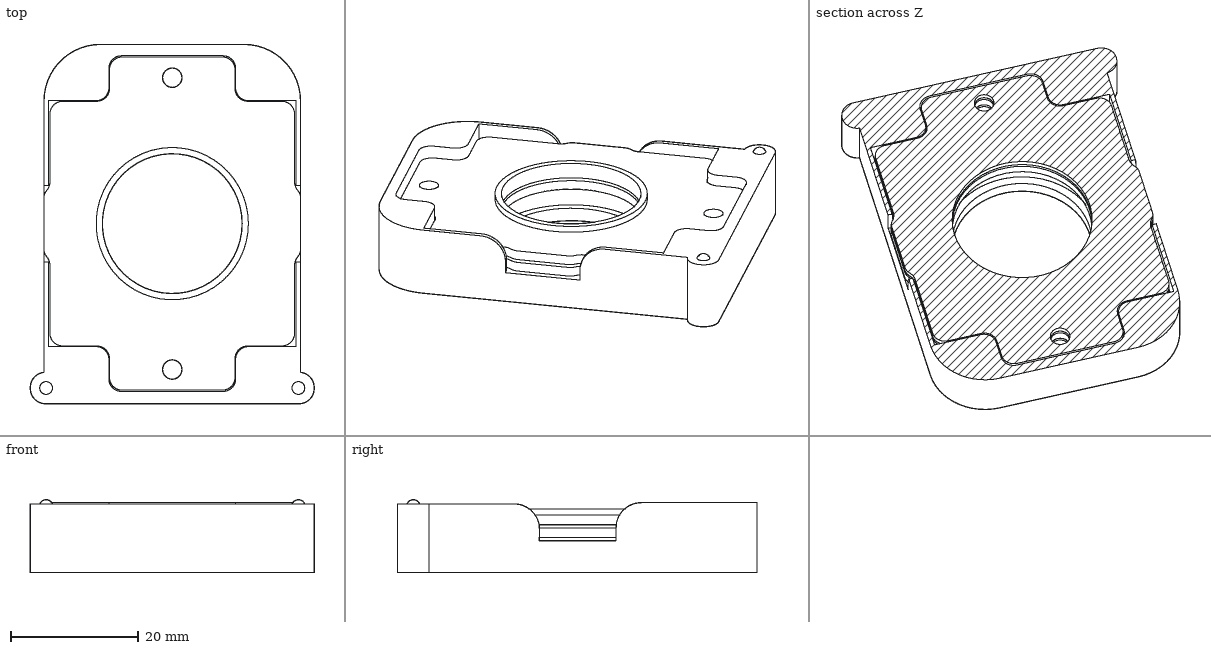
import cadquery as cq
import math

housing_width = 40.3
rear_y = 28.15
front_y = -28.3
rear_height = 11.0
front_height = 10.8
rear_corner_radius = 8.9

ear_reach = 22.3
ear_length = 5.0
ear_radius = 2.45
nub_radius = 1.0
nub_x = 19.8
nub_top = 11.45
ear_y = front_y + ear_length / 2

pocket_floor = 5.0
pocket_half_width = 19.4
pocket_half_length = 19.3
pocket_tab_half_width = 9.95
pocket_tab_reach = 26.35
tab_radius = 2.0
select_margin = 1.0

opening_half_length = 6.0
flare_radius = 4.0

bore_diameter = 21.9
counterbore_diameter = 24.4
counterbore_floor = 2.2

plate_thickness = 1.5
plate_gap = 0.5
side_clearance = 0.2
end_clearance = 0.1
plate_corner_radius = 2.0
grip_flat_half_length = 3.95
grip_radius = 2.0
collar_diameter = 23.9
collar_height = 1.0

screw_hole_diameter = 3.0
screw_hole_y = 22.9

lower_plate_z = pocket_floor + plate_gap
upper_plate_z = lower_plate_z + plate_thickness + plate_gap


def cylinder(x, y, bottom, diameter, height):
    """Upright cylinder standing at the given base height."""
    base = cq.Workplane("XY", origin=(x, y, bottom))
    return base.circle(diameter / 2).extrude(height)


def cut_screw_holes(body):
    """Drill the front and rear screw holes through the full height."""
    for y in (-screw_hole_y, screw_hole_y):
        body = body.cut(cylinder(0, y, 0, screw_hole_diameter, rear_height))
    return body


def block(half_width, half_length, bottom, height):
    """Rectangular block centred on the bore axis."""
    base = cq.Workplane("XY", origin=(0, 0, bottom))
    return base.rect(2 * half_width, 2 * half_length).extrude(height)


def cross(middle_half_width, middle_half_length, tab_half_width, tab_reach, bottom, height):
    """Cross-shaped block whose end tabs have rounded tips and rounded roots."""
    middle = block(middle_half_width, middle_half_length, bottom, height)
    tabs = block(tab_half_width, tab_reach, bottom, height).edges("|Z").fillet(tab_radius)
    root_selector = cq.selectors.BoxSelector(
        (-tab_half_width - select_margin, -middle_half_length - select_margin, bottom - select_margin),
        (tab_half_width + select_margin, middle_half_length + select_margin, bottom + height + select_margin),
    )
    return middle.union(tabs).edges("|Z").edges(root_selector).fillet(tab_radius)


def span_block(width, start_y, end_y, height):
    """Block standing on the base plane, centred in X, between two Y positions."""
    base = cq.Workplane("XY").center(0, (start_y + end_y) / 2)
    return base.rect(width, end_y - start_y).extrude(height)


def housing_blank():
    """Solid housing with round rear corners, hinge ears and a slightly lower front half."""
    rear = cq.Workplane("XY").rect(housing_width, 2 * rear_y).extrude(rear_height)
    rear = rear.edges("|Z and >Y").fillet(rear_corner_radius)
    rear = rear.intersect(span_block(housing_width, 0, rear_y, rear_height))
    front = span_block(housing_width, ear_y, 0, front_height)
    ears = span_block(2 * ear_reach, front_y, front_y + ear_length, front_height)
    ears = ears.edges("|Z").fillet(ear_radius)
    return rear.union(front).union(ears)


def nub(x):
    """Spherical cap rising from the top of a hinge ear."""
    cap_height = nub_top - front_height
    sphere_radius = (nub_radius**2 + cap_height**2) / (2 * cap_height)
    ball = cq.Workplane("XY").sphere(sphere_radius).translate((x, ear_y, nub_top - sphere_radius))
    return ball.intersect(cylinder(x, ear_y, front_height / 2, 2 * nub_radius, front_height))


def finger_opening():
    """Cutter across the full width: square at the bottom, flared out to each wall top."""
    diagonal = flare_radius * math.sqrt(0.5)
    flare_end = opening_half_length + flare_radius
    profile = (
        cq.Workplane("YZ")
        .moveTo(-opening_half_length, pocket_floor)
        .lineTo(opening_half_length, pocket_floor)
        .lineTo(opening_half_length, rear_height - flare_radius)
        .threePointArc(
            (flare_end - diagonal, rear_height - flare_radius + diagonal),
            (flare_end, rear_height),
        )
        .lineTo(-flare_end, rear_height)
        .lineTo(-flare_end, front_height)
        .threePointArc(
            (-flare_end + diagonal, front_height - flare_radius + diagonal),
            (-opening_half_length, front_height - flare_radius),
        )
        .close()
    )
    return profile.extrude(housing_width / 2, both=True)


def make_housing():
    body = housing_blank()
    for x in (-nub_x, nub_x):
        body = body.union(nub(x))
    pocket = cross(
        pocket_half_width,
        pocket_half_length,
        pocket_tab_half_width,
        pocket_tab_reach,
        pocket_floor,
        rear_height - pocket_floor,
    )
    body = body.cut(pocket).cut(finger_opening())
    body = body.cut(cylinder(0, 0, 0, bore_diameter, rear_height))
    body = body.cut(cylinder(0, 0, counterbore_floor, counterbore_diameter, rear_height))
    return cut_screw_holes(body)


def side_grip(side, root_x, bottom):
    """Low bulge on a plate side, flush with the housing wall, blended by equal S-curves."""
    tip_x = housing_width / 2
    rise = tip_x - root_x
    turn = math.acos(1 - rise / (2 * grip_radius))
    half_run = grip_radius * math.sin(turn)
    mid_x = root_x + rise / 2
    blend_y = grip_flat_half_length + half_run
    root_y = blend_y + half_run
    arc_x = grip_radius * (1 - math.cos(turn / 2))
    arc_y = grip_radius * math.sin(turn / 2)
    profile = (
        cq.Workplane("XY", origin=(0, 0, bottom))
        .moveTo(0, -root_y)
        .lineTo(side * root_x, -root_y)
        .threePointArc((side * (root_x + arc_x), -root_y + arc_y), (side * mid_x, -blend_y))
        .threePointArc(
            (side * (tip_x - arc_x), -grip_flat_half_length - arc_y),
            (side * tip_x, -grip_flat_half_length),
        )
        .lineTo(side * tip_x, grip_flat_half_length)
        .threePointArc(
            (side * (tip_x - arc_x), grip_flat_half_length + arc_y),
            (side * mid_x, blend_y),
        )
        .threePointArc((side * (root_x + arc_x), root_y - arc_y), (side * root_x, root_y))
        .lineTo(0, root_y)
        .close()
    )
    return profile.extrude(plate_thickness)


def plate_blank(bottom):
    """Cross-shaped plate with rounded corners and a grip on each side."""
    half_width = pocket_half_width - side_clearance
    half_length = pocket_half_length - end_clearance
    plate = cross(
        half_width,
        half_length,
        pocket_tab_half_width - end_clearance,
        pocket_tab_reach - side_clearance,
        bottom,
        plate_thickness,
    )
    plate = plate.edges("|Z and (<X or >X)").fillet(plate_corner_radius)
    for side in (-1, 1):
        plate = plate.union(side_grip(side, half_width, bottom))
    return plate


def make_lower_plate():
    plate = plate_blank(lower_plate_z)
    plate = plate.cut(cylinder(0, 0, 0, bore_diameter, rear_height))
    return cut_screw_holes(plate)


def make_upper_plate():
    """Same plate with a raised collar around the bore."""
    plate = plate_blank(upper_plate_z)
    collar = cylinder(0, 0, upper_plate_z, collar_diameter, plate_thickness + collar_height)
    plate = plate.union(collar).cut(cylinder(0, 0, 0, bore_diameter, rear_height))
    return cut_screw_holes(plate)


housing = make_housing()
lower_plate = make_lower_plate()
upper_plate = make_upper_plate()

result = cq.Compound.makeCompound([housing.val(), lower_plate.val(), upper_plate.val()])